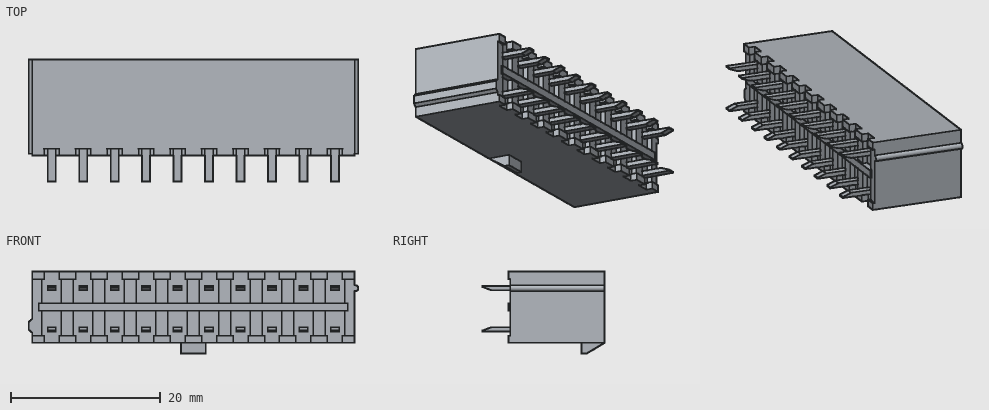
import cadquery as cq

pin_count = 10
pitch = 4.2

total_length = 44.0
body_length = 43.05
body_height = 9.55
body_depth = 12.85
ledge_recess = 0.25
pocket_depth = 0.9
ledge_depth = body_depth - ledge_recess

top_strip_height = 1.05
bottom_strip_height = 0.95
notch_width = 2.0
pocket_width = 2.6
rail_top = body_height - 4.25
rail_height = 1.05
rail_end_margin = 0.9

pin_width = 1.1
pin_thickness = 0.6
pin_tip_thickness = 0.15
pin_taper_length = 1.2
pin_reach = 16.3
upper_pin_top = body_height - 1.95
lower_pin_bottom = body_height - 8.05

left_key_width = 0.45
left_key_bottom = body_height - 8.2
left_key_height = 1.85
left_key_chamfer = 0.4

right_key_width = total_length - body_length - left_key_width
right_key_centre = body_height - 2.25
right_key_height = 0.8

latch_width = 3.35
latch_height = 1.45
latch_depth = 3.1
latch_flat = 0.7

half_length = body_length / 2
pin_positions = [(i - (pin_count - 1) / 2) * pitch for i in range(pin_count)]


def box(x_min, x_max, back, front, z_min, z_max):
    """Block between two distances, back and front, measured forward from the back face."""
    return (
        cq.Workplane("XY")
        .box(x_max - x_min, front - back, z_max - z_min, centered=False)
        .translate((x_min, -front, z_min))
    )


def make_rail():
    """Rail across all the pockets, flush with the front edge strips."""
    rail_half = half_length - rail_end_margin
    pocket_floor = body_depth - pocket_depth
    return box(-rail_half, rail_half, pocket_floor, body_depth, rail_top - rail_height, rail_top)


def make_housing():
    """Block with a recessed front, a pocket per pin column and the centre rail."""
    strip_bottom = body_height - top_strip_height
    pocket_floor = body_depth - pocket_depth
    housing = box(-half_length, half_length, 0, body_depth, 0, body_height)
    housing = housing.cut(
        box(-half_length, half_length, ledge_depth, body_depth, bottom_strip_height, strip_bottom)
    )
    for x in pin_positions:
        notch_half = notch_width / 2
        pocket_half = pocket_width / 2
        housing = housing.cut(
            box(x - notch_half, x + notch_half, pocket_floor, body_depth, 0, body_height)
        )
        housing = housing.cut(
            box(x - pocket_half, x + pocket_half, pocket_floor, body_depth,
                bottom_strip_height, strip_bottom)
        )
    return housing.union(make_rail())


def make_pin(x, straight_z, inward):
    """Pin with one straight face at straight_z; inward (+1 or -1) points to its tapered face."""
    root = body_depth - pocket_depth - pin_thickness
    tapered_z = straight_z + inward * pin_thickness
    tip_z = straight_z + inward * pin_tip_thickness
    outline = [
        (-root, straight_z),
        (-pin_reach, straight_z),
        (-pin_reach, tip_z),
        (pin_taper_length - pin_reach, tapered_z),
        (-root, tapered_z),
    ]
    pin = cq.Workplane("YZ").polyline(outline).close().extrude(pin_width / 2, both=True)
    return pin.translate((x, 0, 0))


def make_left_key():
    outline = [
        (-half_length, left_key_bottom),
        (-half_length - left_key_width, left_key_bottom + left_key_chamfer),
        (-half_length - left_key_width, left_key_bottom + left_key_height - left_key_chamfer),
        (-half_length, left_key_bottom + left_key_height),
    ]
    return cq.Workplane("XZ").polyline(outline).close().extrude(ledge_depth)


def make_right_key():
    nose_radius = right_key_height / 2
    nose_start = half_length + right_key_width - nose_radius
    key_bottom = right_key_centre - nose_radius
    key_top = right_key_centre + nose_radius
    return (
        cq.Workplane("XZ")
        .moveTo(half_length, key_bottom)
        .lineTo(nose_start, key_bottom)
        .threePointArc((half_length + right_key_width, right_key_centre), (nose_start, key_top))
        .lineTo(half_length, key_top)
        .close()
        .extrude(ledge_depth)
    )


def make_latch():
    """Hook below the housing, ramped from the back edge to a square front face."""
    outline = [
        (0, 0),
        (latch_flat - latch_depth, -latch_height),
        (-latch_depth, -latch_height),
        (-latch_depth, 0),
    ]
    return cq.Workplane("YZ").polyline(outline).close().extrude(latch_width / 2, both=True)


result = make_housing().union(make_left_key()).union(make_right_key()).union(make_latch())
for pin_x in pin_positions:
    result = result.union(make_pin(pin_x, upper_pin_top, -1))
    result = result.union(make_pin(pin_x, lower_pin_bottom, 1))